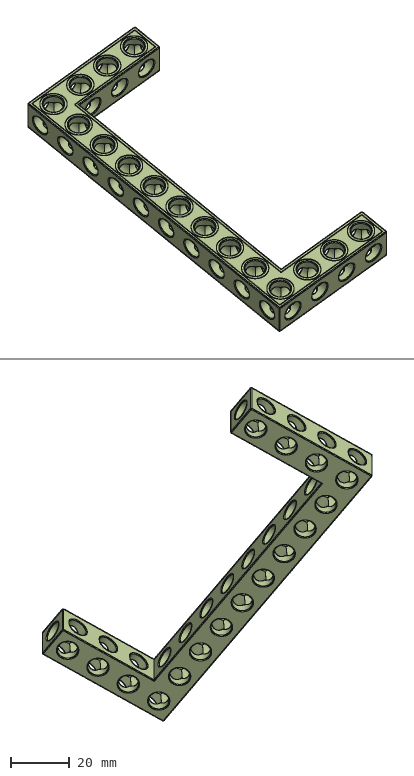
import cadquery as cq

pitch = 12.5
columns = 10
rows = 4
hole_diameter = 7.0
rim_diameter = 9.2
edge_chamfer = 0.3
recess_depth = 0.2

length = columns * pitch
depth = rows * pitch
mid = pitch / 2
recess_floor = pitch - recess_depth

rim_width = (rim_diameter - hole_diameter) / 2

column_centres = [(column + 0.5) * pitch for column in range(columns)]
row_centres = [(row + 0.5) * pitch for row in range(rows)]
arm_row_centres = row_centres[1:]
arm_column_centres = (column_centres[0], column_centres[-1])
upright_points = [(x, mid) for x in column_centres]
upright_points += [(x, y) for x in arm_column_centres for y in arm_row_centres]


def u_prism(inset, bottom, top):
    """U-shaped prism whose outline lies inside the beam outline by inset."""
    left = inset
    right = length - inset
    front = inset
    back = depth - inset
    gap_left = pitch - inset
    gap_right = length - pitch + inset
    gap_front = pitch - inset
    outline = [
        (left, front),
        (right, front),
        (right, back),
        (gap_right, back),
        (gap_right, gap_front),
        (gap_left, gap_front),
        (gap_left, back),
        (left, back),
    ]
    plane = cq.Workplane("XY").workplane(offset=bottom)
    return plane.polyline(outline).close().extrude(top - bottom)


def chamfered_bore(start, direction, span):
    """Cutter for a straight hole with a chamfered mouth at both ends."""
    radius = hole_diameter / 2
    mouth = radius + edge_chamfer
    profile = [
        (0, 0),
        (mouth, 0),
        (radius, edge_chamfer),
        (radius, span - edge_chamfer),
        (mouth, span),
        (0, span),
    ]
    cutter = cq.Workplane("XY").polyline(profile).close().revolve(360, (0, 0), (0, 1))
    if direction == "X":
        cutter = cutter.rotate((0, 0, 0), (0, 0, 1), -90)
    elif direction == "Z":
        cutter = cutter.rotate((0, 0, 0), (1, 0, 0), 90)
    return cutter.translate(start)


body = u_prism(0, 0, pitch)
body = body.edges("|X or |Y or (|Z and (<Y or >Y))").chamfer(edge_chamfer)

recess = u_prism(rim_width, recess_floor, pitch)
hole_rims = (
    cq.Workplane("XY")
    .workplane(offset=recess_floor)
    .pushPoints(upright_points)
    .circle(rim_diameter / 2)
    .extrude(recess_depth)
)
body = body.cut(recess.cut(hole_rims))

for x, y in upright_points:
    body = body.cut(chamfered_bore((x, y, 0), "Z", pitch))

for x in column_centres:
    span = depth if x in arm_column_centres else pitch
    body = body.cut(chamfered_bore((x, 0, mid), "Y", span))

for y in arm_row_centres:
    for arm_left in (0, length - pitch):
        body = body.cut(chamfered_bore((arm_left, y, mid), "X", pitch))
body = body.cut(chamfered_bore((0, mid, mid), "X", length))

result = body